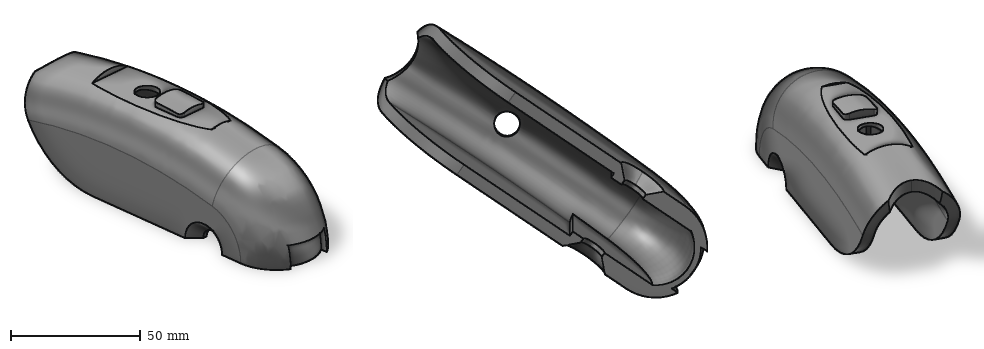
import cadquery as cq
import math

BODY_WIDTH = 40.0
WALL = 5.0
ARCH_RADIUS = 230.0
NOSE_X = 48.0
TAIL_ANGLE = 16.0

BODY_RADIUS = BODY_WIDTH / 2
CAVITY_RADIUS = BODY_RADIUS - WALL
NOSE_BEND_RADIUS = BODY_RADIUS
NOSE_ANGLE = math.degrees(math.asin(NOSE_X / (ARCH_RADIUS - NOSE_BEND_RADIUS)))
ARCH_CENTER_Z = -(ARCH_RADIUS - NOSE_BEND_RADIUS) * math.cos(math.radians(NOSE_ANGLE))

RIM_RADIUS = BODY_WIDTH
RIM_CENTER_X = -11.9
BITE_RADIUS = CAVITY_RADIUS
BITE_CENTER_X = -62.0

DECK_Z = 42.0
DECK_REAR_X = -22.0
DECK_FRONT_X = 38.0
DECK_HOLE_X = -2.0
DECK_HOLE_RADIUS = 5.0
BUTTON_REAR_X = 8.0
BUTTON_LENGTH = 15.0
BUTTON_WIDTH = 14.0
BUTTON_CORNER = 2.0

CROSS_HOLE_RADIUS = 5.0
COUNTERSINK_RADIUS = 10.0
COUNTERSINK_DEPTH = WALL
PAD_GAP = 26.0
PAD_REAR_X = NOSE_X - COUNTERSINK_RADIUS

RECESS_WIDTH = 20.0
RECESS_HEIGHT = 10.0
RECESS_DEPTH = WALL / 2

CLEAR = 138.6


def spine_point(center_x, center_z, radius, angle):
    """Point on a spine arc; the angle runs from +Z toward +X, in degrees."""
    turn = math.radians(angle)
    return (center_x + radius * math.sin(turn), center_z + radius * math.cos(turn))


def arch_point(angle):
    return spine_point(0, ARCH_CENTER_Z, ARCH_RADIUS, angle)


def nose_point(angle):
    return spine_point(NOSE_X, 0, NOSE_BEND_RADIUS, angle)


def side_plate(outline, width):
    """Extrude an XZ outline by width, centered on the symmetry plane."""
    return outline.extrude(width / 2, both=True)


def round_top(center_x, center_z, bend_radius, half_width, start, end):
    """Half-round section swept along a spine arc from the start to the end angle."""
    axis_start = (center_x, 0, center_z)
    axis_end = (center_x, 1, center_z)
    return (
        cq.Workplane("YZ", origin=axis_start)
        .moveTo(-half_width, bend_radius)
        .threePointArc((0, bend_radius + half_width), (half_width, bend_radius))
        .close()
        .revolve(end - start, (0, 0, 0), (1, 0, 0))
        .rotate(axis_start, axis_end, start)
    )


def arched_form(half_width):
    """Straight-sided form under the spine with a half-round top over it."""
    tail_x, tail_z = arch_point(-TAIL_ANGLE)
    outline = (
        cq.Workplane("XZ")
        .moveTo(tail_x, 0)
        .lineTo(tail_x, tail_z)
        .threePointArc(arch_point(0), arch_point(NOSE_ANGLE))
        .threePointArc(nose_point((NOSE_ANGLE + 90) / 2), nose_point(90))
        .close()
    )
    back = round_top(0, ARCH_CENTER_Z, ARCH_RADIUS, half_width, -TAIL_ANGLE, NOSE_ANGLE)
    nose = round_top(NOSE_X, 0, NOSE_BEND_RADIUS, half_width, NOSE_ANGLE, 90)
    return side_plate(outline, 2 * half_width).union(back).union(nose)


def cavity():
    """Inner space, narrowed between the thickened walls at the nose."""
    full = arched_form(CAVITY_RADIUS)
    gap = cq.Workplane("XY").box(CLEAR, PAD_GAP, CLEAR).translate((PAD_REAR_X + CLEAR / 2, 0, 0))
    behind_pads = cq.Workplane("XY").box(CLEAR, CLEAR, CLEAR).translate((PAD_REAR_X - CLEAR / 2, 0, 0))
    return full.intersect(behind_pads.union(gap))


def tail_trim():
    """Everything to keep in front of the rounded tail rim."""
    rim_rear_x = RIM_CENTER_X - RIM_RADIUS
    diagonal = RIM_RADIUS * math.sqrt(0.5)
    outline = (
        cq.Workplane("XZ")
        .moveTo(RIM_CENTER_X, 0)
        .threePointArc((RIM_CENTER_X - diagonal, RIM_RADIUS - diagonal), (rim_rear_x, RIM_RADIUS))
        .lineTo(rim_rear_x, CLEAR)
        .lineTo(CLEAR, CLEAR)
        .lineTo(CLEAR, 0)
        .close()
    )
    return side_plate(outline, CLEAR)


def tail_bite():
    return cq.Workplane("XY").center(BITE_CENTER_X, 0).circle(BITE_RADIUS).extrude(CLEAR)


def deck_cut():
    """Space above the deck, leaving the button standing under the round top."""
    deck_length = DECK_FRONT_X - DECK_REAR_X
    above = (
        cq.Workplane("XY", origin=(DECK_REAR_X + deck_length / 2, 0, DECK_Z))
        .rect(deck_length, BODY_WIDTH)
        .extrude(CLEAR)
    )
    button = (
        cq.Workplane("XY", origin=(BUTTON_REAR_X + BUTTON_LENGTH / 2, 0, DECK_Z))
        .rect(BUTTON_LENGTH, BUTTON_WIDTH)
        .extrude(CLEAR)
        .edges("|Z")
        .fillet(BUTTON_CORNER)
    )
    return above.cut(button)


def deck_hole():
    return cq.Workplane("XY").center(DECK_HOLE_X, 0).circle(DECK_HOLE_RADIUS).extrude(CLEAR)


def cross_hole():
    """Through hole along Y with a conical countersink on each side."""
    hole = side_plate(cq.Workplane("XZ").center(NOSE_X, 0).circle(CROSS_HOLE_RADIUS), CLEAR)
    for side in (-1, 1):
        cone = cq.Solid.makeCone(
            COUNTERSINK_RADIUS,
            CROSS_HOLE_RADIUS,
            COUNTERSINK_DEPTH,
            pnt=cq.Vector(NOSE_X, side * BODY_RADIUS, 0),
            dir=cq.Vector(0, -side, 0),
        )
        hole = hole.union(cq.Workplane(cone))
    return hole


def nose_recess():
    """Recess across the front of the nose; its floor follows the nose surface."""
    block = (
        cq.Workplane("XY")
        .box(CLEAR, RECESS_WIDTH, RECESS_HEIGHT, centered=(False, True, False))
        .translate((NOSE_X, 0, 0))
    )
    return block.cut(arched_form(BODY_RADIUS - RECESS_DEPTH))


shell = arched_form(BODY_RADIUS).intersect(tail_trim(), clean=False)
for cutter in (deck_cut(), cavity(), tail_bite(), deck_hole(), cross_hole(), nose_recess()):
    shell = shell.cut(cutter, clean=False)
result = shell.solids()